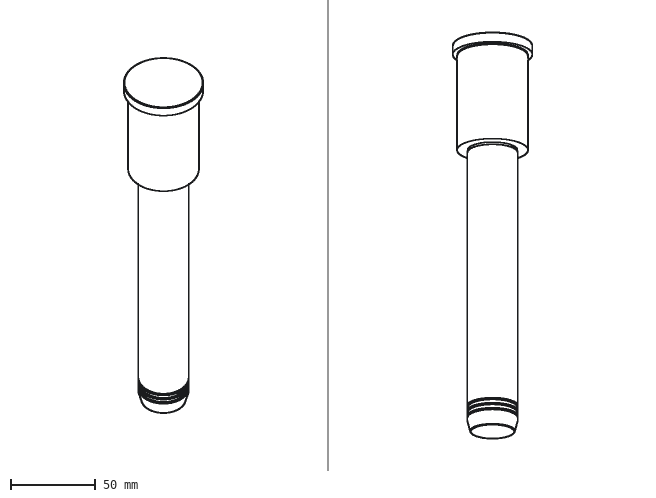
import cadquery as cq

total_length = 241.0
flange_diameter = 47.0
flange_radius = flange_diameter / 2
flange_height = 6.0
flange_chamfer = 0.5
sleeve_radius = 21.0
sleeve_bottom_z = 175.5
shaft_radius = 15.0

neck_depth = 0.2
neck_length = 1.5

relief_width = 0.7
relief_depth = 0.2

groove_count = 3
groove_width = 1.0
groove_depth = 0.5
groove_pitch = 3.1
first_groove_z = 9.0

tip_height = 7.0
tip_end_radius = 13.3
tip_end_chamfer = 0.5


def disc(radius, bottom_z, top_z):
    """Solid cylinder on the Z axis between two heights."""
    return cq.Workplane("XY").workplane(offset=bottom_z).circle(radius).extrude(top_z - bottom_z)


def ring_groove(outer_radius, depth, bottom_z, width):
    """Ring to cut from a cylinder of the given outer radius."""
    blank = disc(outer_radius + depth, bottom_z, bottom_z + width)
    return blank.cut(disc(outer_radius - depth, bottom_z, bottom_z + width))


def make_head():
    flange_bottom_z = total_length - flange_height
    flange = disc(flange_radius, flange_bottom_z, total_length).faces(">Z").edges().chamfer(flange_chamfer)
    sleeve = disc(sleeve_radius, sleeve_bottom_z, flange_bottom_z)
    relief = ring_groove(sleeve_radius, relief_depth, flange_bottom_z - relief_width, relief_width)
    return flange.union(sleeve.cut(relief))


def make_shaft():
    shaft_top_z = sleeve_bottom_z - neck_length
    shaft = disc(shaft_radius, tip_height, shaft_top_z)
    for index in range(groove_count):
        groove_z = first_groove_z + index * groove_pitch
        shaft = shaft.cut(ring_groove(shaft_radius, groove_depth, groove_z, groove_width))
    neck = disc(shaft_radius - neck_depth, shaft_top_z, sleeve_bottom_z)
    return shaft.union(neck)


def make_tip():
    profile = (
        cq.Workplane("XZ")
        .lineTo(tip_end_radius - tip_end_chamfer, 0)
        .lineTo(tip_end_radius, tip_end_chamfer)
        .lineTo(shaft_radius, tip_height)
        .lineTo(0, tip_height)
        .close()
    )
    return profile.revolve(360, (0, 0, 0), (0, 1, 0))


result = make_head().union(make_shaft()).union(make_tip())